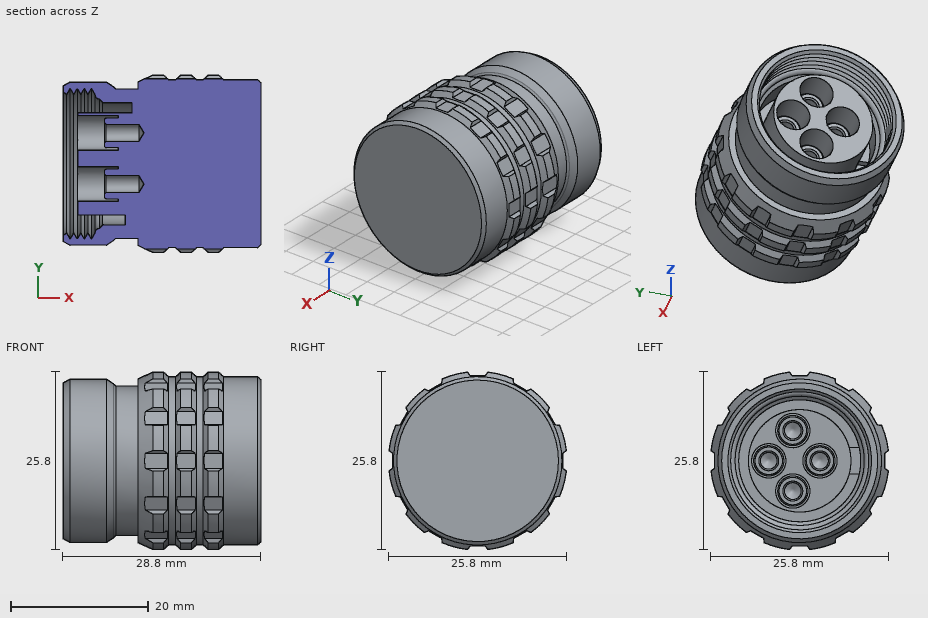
import cadquery as cq
import math

LENGTH = 28.8

COLLAR_RADIUS = 11.9
COLLAR_FACE_RADIUS = 11.35
COLLAR_CHAMFER = 1.0
COLLAR_END = 6.3
COLLAR_REAR_RADIUS = 11.2
COLLAR_REAR_EDGE = 7.35

NECK_RADIUS = 10.9
NECK_START = 7.65
NECK_END = 10.85

BODY_RADIUS = 12.25
RIDGE_RADIUS = 13.0
GRIP_FACE_RADIUS = 11.9
RIDGE_CHAMFER = RIDGE_RADIUS - BODY_RADIUS
RIDGE_CRESTS = [(13.05, 14.6), (17.1, 18.65), (21.1, 22.6)]
REAR_CHAMFER = 0.5

NOTCH_COUNT = 12
NOTCH_FLOOR_RADIUS = 12.4
NOTCH_FLOOR_WIDTH = 2.2
NOTCH_TOP_WIDTH = 3.1

MOUTH_RADIUS = 10.45
THREAD_CREST_RADIUS = 10.05
THREAD_HALF_ANGLE = 30.0
THREAD_START = 0.5
THREAD_PITCH = 1.03
THREAD_TURNS = 4
THREAD_DEPTH = THREAD_PITCH / 2 / math.tan(math.radians(THREAD_HALF_ANGLE))
THREAD_ROOT_RADIUS = THREAD_CREST_RADIUS + THREAD_DEPTH
LEDGE_START = THREAD_START + THREAD_TURNS * THREAD_PITCH
LEDGE_ROUNDING = 0.65
LEDGE_RADIUS = THREAD_CREST_RADIUS - LEDGE_ROUNDING
TAPER_START = LEDGE_START + LEDGE_ROUNDING
TAPER_END = 5.75
BORE_RADIUS = 8.88
BORE_FLOOR = 10.0

INSERT_RADIUS = 7.46
INSERT_FACE = 2.1
KEY_WIDTH = 3.9
KEY_FACE = BORE_FLOOR - 1.0

CAVITY_CENTRES = [(4.5, 0), (-2.95, 0), (1.0, 4.4), (1.0, -4.4)]
CAVITY_RADIUS = 2.5
CAVITY_FLOOR = 8.0
CONTACT_RADIUS = 2.2
CONTACT_CHAMFER = 0.2
CONTACT_FACE = 6.0
SOCKET_MOUTH_RADIUS = 1.45
SOCKET_RADIUS = 1.22
SOCKET_DEPTH = 5.0
DRILL_POINT_ANGLE = 118.0


def turned(outline):
    """Revolve an (x, radius) outline about the X axis."""
    return cq.Workplane("XY").polyline(outline).close().revolve(360, (0, 0, 0), (1, 0, 0))


def cylinder(radius, start, end, centre=(0, 0)):
    """Cylinder along X between two X positions, centred at (Y, Z)."""
    return cq.Workplane("YZ", origin=(start, 0, 0)).center(*centre).circle(radius).extrude(end - start)


def shell():
    """Solid outer shape of the coupling with uncut ridges."""
    outline = [
        (0, 0),
        (0, COLLAR_FACE_RADIUS),
        (COLLAR_CHAMFER, COLLAR_RADIUS),
        (COLLAR_END, COLLAR_RADIUS),
        (COLLAR_REAR_EDGE, COLLAR_REAR_RADIUS),
        (NECK_START, NECK_RADIUS),
        (NECK_END, NECK_RADIUS),
        (NECK_END, GRIP_FACE_RADIUS),
    ]
    for number, (crest_start, crest_end) in enumerate(RIDGE_CRESTS):
        if number > 0:
            outline.append((crest_start - RIDGE_CHAMFER, BODY_RADIUS))
        outline.append((crest_start, RIDGE_RADIUS))
        outline.append((crest_end, RIDGE_RADIUS))
        outline.append((crest_end + RIDGE_CHAMFER, BODY_RADIUS))
    outline += [
        (LENGTH - REAR_CHAMFER, BODY_RADIUS),
        (LENGTH, BODY_RADIUS - REAR_CHAMFER),
        (LENGTH, 0),
    ]
    return turned(outline)


def grip_notches():
    """Flat-floored, flared notches that cross all three ridges."""
    half_floor = NOTCH_FLOOR_WIDTH / 2
    half_top = NOTCH_TOP_WIDTH / 2
    notch = (
        cq.Workplane("YZ", origin=(NECK_END, 0, 0))
        .polyline([
            (-half_floor, NOTCH_FLOOR_RADIUS),
            (half_floor, NOTCH_FLOOR_RADIUS),
            (half_top, RIDGE_RADIUS),
            (-half_top, RIDGE_RADIUS),
        ])
        .close()
        .extrude(LENGTH - NECK_END)
    )
    notches = cq.Workplane("XY")
    for number in range(NOTCH_COUNT):
        notches = notches.add(notch.rotate((0, 0, 0), (1, 0, 0), number * 360 / NOTCH_COUNT))
    return notches.combine()


def mouth():
    """Open bore: chamfered mouth, ring-shaped V thread grooves, rounded ledge, taper and plain bore."""
    outline = cq.Workplane("XY").lineTo(0, MOUTH_RADIUS).lineTo(THREAD_START, THREAD_CREST_RADIUS)
    for turn in range(THREAD_TURNS):
        groove_start = THREAD_START + turn * THREAD_PITCH
        outline = outline.lineTo(groove_start + THREAD_PITCH / 2, THREAD_ROOT_RADIUS)
        outline = outline.lineTo(groove_start + THREAD_PITCH, THREAD_CREST_RADIUS)
    outline = (
        outline.radiusArc((TAPER_START, LEDGE_RADIUS), -LEDGE_ROUNDING)
        .lineTo(TAPER_END, BORE_RADIUS)
        .lineTo(BORE_FLOOR, BORE_RADIUS)
        .lineTo(BORE_FLOOR, 0)
        .close()
    )
    return outline.revolve(360, (0, 0, 0), (1, 0, 0))


def insert():
    """Cylindrical contact carrier with a key bridging the surrounding gap on the -Y side."""
    carrier = cylinder(INSERT_RADIUS, INSERT_FACE, BORE_FLOOR)
    key = (
        cq.Workplane("XY")
        .box(BORE_FLOOR - KEY_FACE, BORE_RADIUS, KEY_WIDTH, centered=(False, False, True))
        .translate((KEY_FACE, -BORE_RADIUS, 0))
    )
    return carrier.union(key)


def socket_contact():
    """Socket contact on the X axis, with a chamfered nose and a drilled, flared bore."""
    flare = SOCKET_MOUTH_RADIUS - SOCKET_RADIUS
    drill_end = CONTACT_FACE + SOCKET_DEPTH
    drill_tip = drill_end + SOCKET_RADIUS / math.tan(math.radians(DRILL_POINT_ANGLE / 2))
    body = cylinder(CONTACT_RADIUS, CONTACT_FACE, CAVITY_FLOOR).faces("<X").chamfer(CONTACT_CHAMFER)
    bore = turned([
        (CONTACT_FACE, 0),
        (CONTACT_FACE, SOCKET_MOUTH_RADIUS),
        (CONTACT_FACE + flare, SOCKET_RADIUS),
        (drill_end, SOCKET_RADIUS),
        (drill_tip, 0),
    ])
    return body, bore


def build():
    part = shell().cut(grip_notches()).cut(mouth()).union(insert())
    contact_body, contact_bore = socket_contact()
    for y, z in CAVITY_CENTRES:
        part = part.cut(cylinder(CAVITY_RADIUS, INSERT_FACE, CAVITY_FLOOR, (y, z)))
        part = part.union(contact_body.translate((0, y, z)))
        part = part.cut(contact_bore.translate((0, y, z)))
    return part


result = build()